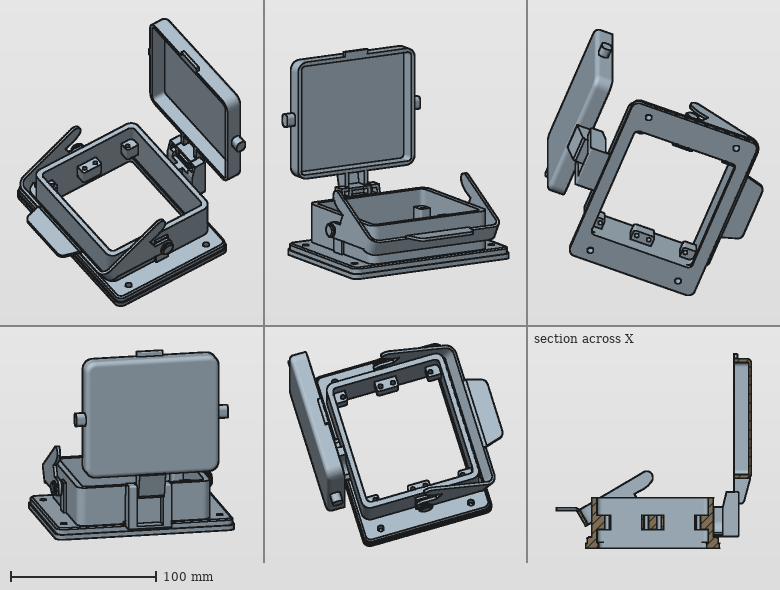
import cadquery as cq
import math


flange_length, flange_width = 126.0, 92.2
flange_step_height, flange_height = 3.5, 7.9
flange_step = 0.8
flange_radius = 5.0
flange_bevel_drop, flange_bevel_run = 1.0, 1.3
mount_hole_x, mount_hole_y, mount_hole_diameter = 55.0, 32.4, 4.3

housing_length, housing_width, housing_top = 94.0, 84.1, 34.9
housing_radius = 5.9
opening_length, opening_width, opening_radius = 85.7, 76.3, 3.2
sill_width, sill_top = 74.4, 4.2

lug_bottom, lug_top = 12.9, 23.0
lug_reach, lug_radius = 7.5, 1.6
middle_lug_width, corner_lug_width = 15.3, 9.3
lug_hole_x, middle_hole_y, corner_hole_y = 38.7, 4.5, 31.5
lug_hole_diameter = 3.0

pivot_z = 24.7
boss_reach, boss_width, boss_top = 1.9, 10.2, 29.0
pivot_diameter, pivot_head_diameter = 5.6, 9.7
pivot_head_start, pivot_head_end, pivot_head_bevel = 54.1, 56.0, 1.0

lever_angle = math.radians(30)
lever_outer_x, lever_thickness = 52.4, 2.1
lever_bend_radius = 7.3
lever_eye_radius = 5.5
lever_tip_y, lever_tip_z, lever_tip_radius = -4.0, 49.0, 4.2
lever_tip_back_z = 47.4
lever_cam_middle, lever_cam_end = (-2.5, 43.8), (-6.2, 40.8)
lever_notch = (-12.5, 37.5)
lever_shoulder_y = -8.5
band_y, band_z, band_height = -52.1, 25.5, 11.8
tab_end, tab_top, tab_thickness = -66.2, 28.1, 2.0
tab_root_half, tab_end_half, tab_corner_radius = 25.1, 21.0, 4.7

cover_front, cover_back = 55.9, 68.1
cover_bottom, cover_top = 48.2, 130.7
cover_radius, cover_back_fillet = 7.1, 3.2
cover_wall, cover_floor = 2.8, 2.0
cavity_radius = 3.0
catch_height, catch_depth, catch_radius = 3.2, 2.5, 0.8
cover_pin_reach, cover_pin_y, cover_pin_z = 53.5, 62.7, 89.6
cover_pin_width, cover_pin_height, cover_pin_radius = 7.0, 9.0, 3.0

arm_half, arm_recess_half = 9.1, 6.2
arm_front, arm_heel, arm_bottom = 51.3, 63.0, 30.8
foot_top = 38.5
heel_chamfer = 1.6
arm_back, arm_root_back = 67.3, 65.8
recess_foot_y, recess_root_y = 62.9, 64.8
bracket_half, bracket_wall = 15.0, 2.1
bracket_back, bracket_front = 59.4, 48.4
bracket_top_front = 50.8
bracket_bottom, bracket_shoulder, bracket_top = 8.0, 29.0, 39.0
bracket_corner = 1.3
neck_top = 28.6
rib_half, rib_foot_z = 3.1, 19.9
fillet_middle = (4.7, 14.1)
fillet_end = (9.5, 11.0)
ledge_end = (12.0, 10.9)
neck_edge_z = 9.3
hollow_bottom, hollow_top, hollow_back = 32.9, 37.0, 56.4
slot_floor_back = 51.3


def block(x0, x1, y0, y1, z0, z1):
    """Box between two opposite corners."""
    return cq.Workplane("XY").box(x1 - x0, y1 - y0, z1 - z0, centered=False).translate((x0, y0, z0))


def upright_plate(length, width, bottom, top, radius):
    """Rectangular plate centred on Z, with rounded vertical corners."""
    plate = cq.Workplane("XY", origin=(0, 0, bottom)).rect(length, width).extrude(top - bottom)
    return plate.edges("|Z").fillet(radius)


def side_profile(points, half_length):
    """Closed (y, z) polygon extruded to both sides of X = 0."""
    return cq.Workplane("YZ").polyline(points).close().extrude(half_length, both=True)


def make_flange():
    step = upright_plate(flange_length, flange_width, 0, flange_step_height, flange_radius)
    upper = upright_plate(
        flange_length - 2 * flange_step,
        flange_width - 2 * flange_step,
        0,
        flange_height,
        flange_radius,
    )
    upper = upper.faces(">Z").chamfer(flange_bevel_drop, flange_bevel_run)
    flange = step.union(upper)
    return (
        flange.faces("<Z")
        .workplane(origin=(0, 0, 0))
        .rect(2 * mount_hole_x, 2 * mount_hole_y, forConstruction=True)
        .vertices()
        .hole(mount_hole_diameter)
    )


def make_housing():
    housing = make_flange().union(
        upright_plate(housing_length, housing_width, 0, housing_top, housing_radius)
    )
    boss_half = housing_length / 2 + boss_reach
    housing = housing.union(
        block(-boss_half, boss_half, -boss_width / 2, boss_width / 2, flange_step_height, boss_top)
    )
    housing = housing.cut(
        upright_plate(opening_length, opening_width, sill_top, housing_top, opening_radius)
    )
    return housing.cut(upright_plate(opening_length, sill_width, 0, sill_top, opening_radius))


def make_lugs():
    """Six lugs with screw holes, three on each side wall."""
    wall_x = opening_length / 2
    wall_overlap = 0.7
    inner_x = wall_x - lug_reach
    corner_y = opening_width / 2
    corner_inner_y = corner_y - corner_lug_width
    outer_x = wall_x + wall_overlap
    middle = block(
        inner_x, outer_x, -middle_lug_width / 2, middle_lug_width / 2, lug_bottom, lug_top
    )
    lugs = middle.edges("|Z and <X").fillet(lug_radius)
    corner = block(inner_x, outer_x, corner_inner_y, corner_y + wall_overlap, lug_bottom, lug_top)
    corner = corner.edges("|Z and <X and <Y").fillet(lug_radius)
    lugs = lugs.union(corner).union(corner.mirror("XZ"))
    hole_rows = (-corner_hole_y, -middle_hole_y, middle_hole_y, corner_hole_y)
    holes = (
        cq.Workplane("XY", origin=(0, 0, lug_bottom))
        .pushPoints([(lug_hole_x, y) for y in hole_rows])
        .circle(lug_hole_diameter / 2)
        .extrude(lug_top - lug_bottom)
    )
    lugs = lugs.cut(holes)
    return lugs.union(lugs.mirror("YZ"))


def make_pivot():
    """Headed pin through the +X arm of the lever."""
    start_x = housing_length / 2
    pin = (
        cq.Workplane("YZ", origin=(start_x, 0, pivot_z))
        .circle(pivot_diameter / 2)
        .extrude(pivot_head_end - start_x)
    )
    head = (
        cq.Workplane("YZ", origin=(pivot_head_start, 0, pivot_z))
        .circle(pivot_head_diameter / 2)
        .extrude(pivot_head_end - pivot_head_start)
        .faces(">X")
        .chamfer(pivot_head_bevel)
    )
    return pin.union(head)


def make_lever():
    """Bent strap: the side outline of the arms, kept only where the U-shaped strap runs."""
    cos_a, sin_a = math.cos(lever_angle), math.sin(lever_angle)
    band_low = (band_y + band_height * sin_a, band_z - band_height * cos_a)
    eye_top = pivot_z + lever_eye_radius
    eye_bottom = pivot_z - lever_eye_radius
    heel_y = band_low[0] + (eye_bottom - band_low[1]) * cos_a / sin_a
    tip_top = (lever_tip_y - lever_tip_radius * sin_a, lever_tip_z + lever_tip_radius * cos_a)
    tip_mid = (
        lever_tip_y + lever_tip_radius * sin_a,
        lever_tip_z + lever_tip_radius * cos_a,
    )
    tip_back_y = lever_tip_y + lever_tip_radius
    outline = (
        cq.Workplane("YZ")
        .moveTo(*tip_top)
        .threePointArc(tip_mid, (tip_back_y, lever_tip_z))
        .lineTo(tip_back_y, lever_tip_back_z)
        .threePointArc(lever_cam_middle, lever_cam_end)
        .lineTo(*lever_notch)
        .lineTo(lever_shoulder_y, eye_top)
        .lineTo(0, eye_top)
        .threePointArc((lever_eye_radius, pivot_z), (0, eye_bottom))
        .lineTo(heel_y, eye_bottom)
        .lineTo(*band_low)
        .lineTo(band_y, band_z)
        .close()
        .extrude(lever_outer_x, both=True)
    )

    arm_run, half_depth = 80.6, 40.3
    strap_plane = cq.Plane(origin=(0, band_y, band_z), xDir=(1, 0, 0), normal=(0, -sin_a, cos_a))
    inner_x = lever_outer_x - lever_thickness
    strap = (
        cq.Workplane(strap_plane)
        .center(0, arm_run / 2)
        .rect(2 * lever_outer_x, arm_run)
        .extrude(half_depth, both=True)
        .edges(cq.selectors.ParallelDirSelector(strap_plane.zDir))
        .fillet(lever_bend_radius)
    )
    hollow = (
        cq.Workplane(strap_plane)
        .center(0, lever_thickness + arm_run / 2)
        .rect(2 * inner_x, arm_run)
        .extrude(half_depth, both=True)
        .edges(cq.selectors.ParallelDirSelector(strap_plane.zDir))
        .fillet(lever_bend_radius - lever_thickness)
    )
    return outline.intersect(strap.cut(hollow))


def make_lever_tab():
    """Level finger tab bent out of the top edge of the lever band."""
    cos_a, sin_a = math.cos(lever_angle), math.sin(lever_angle)
    band_inner = (band_y + lever_thickness * cos_a, band_z + lever_thickness * sin_a)
    root = 0.7
    tab_under = tab_top - tab_thickness
    slope_rise = tab_top - band_inner[1]
    profile = side_profile(
        [
            band_inner,
            (band_inner[0] - slope_rise * cos_a / sin_a, tab_top),
            (tab_end, tab_top),
            (tab_end, tab_under),
            (band_y - (tab_under - band_z) * sin_a / cos_a, tab_under),
            (band_y + root * sin_a, band_z - root * cos_a),
            (band_inner[0] + root * sin_a, band_inner[1] - root * cos_a),
        ],
        tab_root_half,
    )
    outline = (
        cq.Workplane("XY")
        .polyline(
            [
                (-tab_root_half, 0),
                (tab_root_half, 0),
                (tab_root_half, band_y),
                (tab_end_half, tab_end),
                (-tab_end_half, tab_end),
                (-tab_root_half, band_y),
            ]
        )
        .close()
        .extrude(housing_top)
        .edges("|Z and <Y")
        .fillet(tab_corner_radius)
    )
    return profile.intersect(outline)


def make_cover():
    half = housing_length / 2
    cover = block(-half, half, cover_front, cover_back, cover_bottom, cover_top)
    cover = cover.edges("|Y").fillet(cover_radius)
    cover = cover.faces(">Y").edges().fillet(cover_back_fillet)
    cavity = block(
        -half + cover_wall,
        half - cover_wall,
        cover_front,
        cover_back - cover_floor,
        cover_bottom + cover_wall,
        cover_top - cover_wall,
    )
    cover = cover.cut(cavity.edges("|Y").fillet(cavity_radius))
    catch = block(
        -arm_half,
        arm_half,
        cover_front,
        cover_front + catch_depth,
        cover_top,
        cover_top + catch_height,
    )
    cover = cover.union(catch.edges("|X and >Y and >Z").fillet(catch_radius))

    inner_x = half - cover_wall
    pin = (
        cq.Workplane("YZ", origin=(inner_x, cover_pin_y, cover_pin_z))
        .rect(cover_pin_width, cover_pin_height)
        .extrude(cover_pin_reach - inner_x)
        .edges("|X")
        .fillet(cover_pin_radius)
    )
    return cover.union(pin).union(pin.mirror("YZ"))


def make_cover_arm():
    """Arm below the cover, ending in a foot that sits in the hinge bracket."""
    root_z = cover_bottom + cover_wall
    arm = side_profile(
        [
            (cover_front, root_z),
            (cover_front, foot_top),
            (arm_front, foot_top),
            (arm_front, arm_bottom),
            (arm_heel - heel_chamfer, arm_bottom),
            (arm_heel, arm_bottom + heel_chamfer),
            (arm_back, cover_bottom),
            (arm_root_back, root_z),
        ],
        arm_half,
    )
    recess = side_profile(
        [
            (cover_front, foot_top),
            (recess_foot_y, foot_top),
            (recess_root_y, cover_bottom),
            (cover_front, cover_bottom),
        ],
        arm_recess_half,
    )
    window = block(
        -arm_recess_half, arm_recess_half, arm_front, hollow_back, hollow_bottom, hollow_top
    )
    return arm.cut(recess).cut(window)


def make_bracket():
    bracket = side_profile(
        [
            (bracket_back, bracket_bottom),
            (bracket_back, bracket_top),
            (bracket_top_front, bracket_top),
            (bracket_front, bracket_shoulder),
            (bracket_front, bracket_bottom),
        ],
        bracket_half,
    )
    bracket = bracket.edges("|X and >Y").fillet(bracket_corner)
    inner_half = bracket_half - bracket_wall
    hollow = block(
        -inner_half, inner_half, bracket_front, hollow_back, hollow_bottom, hollow_top
    )
    slot = block(-arm_half, arm_half, bracket_front, bracket_back, neck_top, bracket_top)
    rear_opening = block(
        -arm_half, arm_half, slot_floor_back, bracket_back, bracket_bottom + bracket_wall, bracket_top
    )
    return bracket.cut(hollow).cut(slot).cut(rear_opening)


def make_neck():
    """Ribbed neck joining the bracket to the rear housing wall, with a thin foot plate below."""
    wall_overlap = 1.3
    depth = bracket_front - housing_width / 2 + wall_overlap
    half_neck = (
        cq.Workplane("XZ", origin=(0, bracket_front, 0))
        .moveTo(0, bracket_bottom)
        .lineTo(bracket_half, bracket_bottom)
        .lineTo(bracket_half, neck_edge_z)
        .lineTo(*ledge_end)
        .lineTo(*fillet_end)
        .threePointArc(fillet_middle, (rib_half, rib_foot_z))
        .lineTo(rib_half, neck_top)
        .lineTo(0, neck_top)
        .close()
        .extrude(depth)
    )
    return half_neck.union(half_neck.mirror("YZ"))


pivot = make_pivot()
result = (
    make_housing()
    .union(make_lugs())
    .union(make_neck())
    .union(make_bracket())
    .union(make_cover())
    .union(make_cover_arm())
    .union(make_lever())
    .union(make_lever_tab())
    .union(pivot)
    .union(pivot.mirror("YZ"))
)